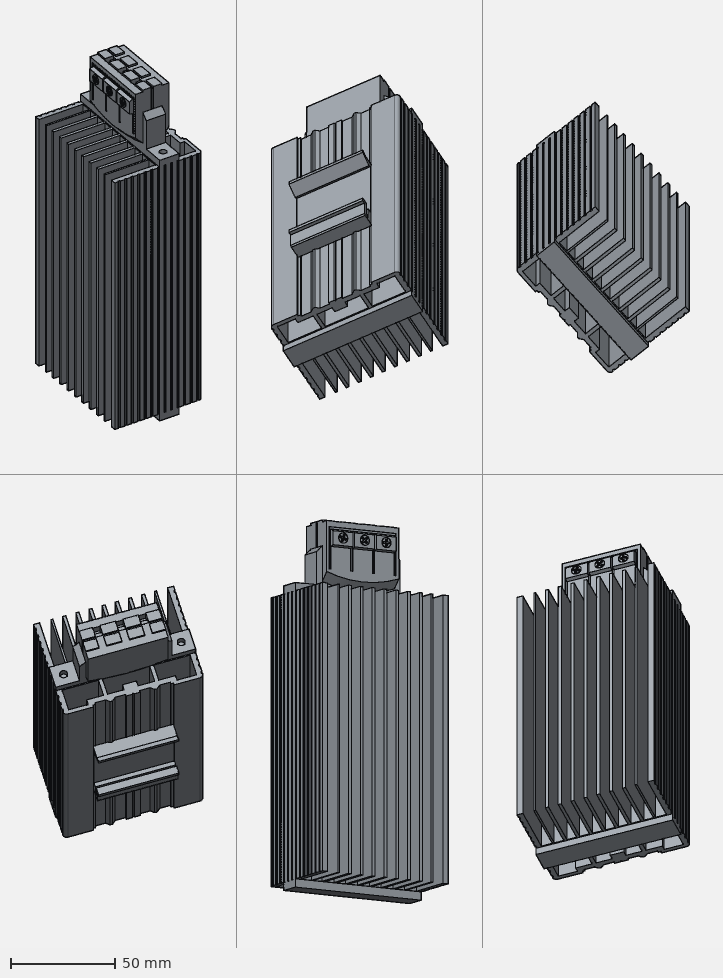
import cadquery as cq

WIDTH = 70.0
PROFILE_DEPTH = 50.0
CLIP_TIP_Y = 58.3
TOTAL_HEIGHT = 180.0

CAP_THICKNESS = 4.0
BODY_HEIGHT = 140.2
BODY_TOP = CAP_THICKNESS + BODY_HEIGHT
CAP_TOP = BODY_TOP + CAP_THICKNESS
CAP_DEPTH = 11.0
CAP_Y = 31.1
CAP_FRONT = CAP_Y - CAP_DEPTH / 2
CAP_BACK = CAP_Y + CAP_DEPTH / 2
CAP_HOLE_DIAMETER = 3.8
CAP_HOLE_X = 29.4

WALL = 3.0
INNER_HALF_WIDTH = WIDTH / 2 - WALL
CORNER_RADIUS = 2.0
CORE_DEPTH = 12.2
BACK_PLATE_FRONT = 48.0
PAD_WIDTH = 44.4
PAD_FRONT = 45.5
BOSS_WIDTH = 7.0
BOSS_FRONT = 42.8
LEG_WIDTH = 2.0
LEG_X = 12.8
FIN_PITCH = 6.57
FIN_THICKNESS = 1.6
INNER_FIN_COUNT = 7
OUTER_FIN_X = 25.9
OUTER_FIN_THICKNESS = 1.0
WALL_GROOVE_COUNT = 13
WALL_GROOVE_PITCH = 3.72
WALL_GROOVE_FIRST_Y = 2.7
WALL_GROOVE_WIDTH = 1.0
WALL_GROOVE_DEPTH = 0.5

CLIP_WIDTH = 40.2
CLIP_BASE_Y = 49.0
CHANNEL_INNER_X = 3.5
CHANNEL_OUTER_X = 18.8
CHANNEL_FLOOR_Y = 48.1
CHANNEL_RIB_BASE = 4.8
CHANNEL_RIB_TIP = 1.2
CHANNEL_RIB_TIP_Y = 49.6
POST_NOTCH_WIDTH = 1.0
POST_NOTCH_DEPTH = 0.6

CLIP_PLATE_Y = 50.6
LIP_TOP = 97.5
LIP_TIP_TOP = 99.3
LIP_TIP_THICKNESS = 1.9
LIP_BEND_Y = 55.4
LIP_ROOT = 94.2
LIP_ROOT_Y = 52.0
LIP_ROOT_RELIEF = 0.8
HOOK_BOTTOM = 50.3
HOOK_FLOOR = 52.5
HOOK_ROOT_TOP = 59.1
HOOK_TIP_TOP = 61.2
HOOK_TIP_THICKNESS = 2.0
HOOK_SLOT_FRONT_Y = 52.8
HOOK_SLOT_BACK_Y = 54.5
HOOK_BACK_Y = 56.6
HOOK_CORNER = 0.7

BLOCK_WIDTH = 40.0
BLOCK_FRONT = 21.4
BLOCK_BACK = 40.6
BLOCK_MIDDLE_Y = (BLOCK_FRONT + BLOCK_BACK) / 2
BLOCK_PAD_HEIGHT = 1.0
BLOCK_TOP = TOTAL_HEIGHT - BLOCK_PAD_HEIGHT
BELLY_LOW_Z = 150.9
BELLY_RISE = 3.3
BELLY_SLOPE = CAP_FRONT - BLOCK_FRONT
EAR_WIDTH = 46.3
EAR_TOP = 167.4
EAR_CHAMFER = (EAR_WIDTH - BLOCK_WIDTH) / 2

PAD_PITCH = 11.45
POCKET_WIDTH = 3.7
POCKET_DEPTH = 5.0
POCKET_STEP_Y = 28.4
LEDGE_DEPTH = 1.0
ROW_GAP = 1.1
SIDE_SLIT_DEPTH = 0.2

SCREW_ANGLES = (70, 45, 0)
SCREW_COUNT = len(SCREW_ANGLES)
SCREW_PITCH = 12.0
STRIP_WIDTH = SCREW_COUNT * SCREW_PITCH
STRIP_TOP = 174.0
STRIP_BOTTOM = 167.2
STRIP_DEPTH = 1.8
STRIP_TOP_CHAMFER = 1.1
STRIP_BOTTOM_CHAMFER = 0.6
LINE_GROOVE_WIDTH = 0.9
LINE_GROOVE_DEPTH = 0.5
LINE_GROOVE_BOTTOM = 155.7
LINE_GROOVE_TOP = 176.2
SCREW_Z = 170.9
SCREW_DIAMETER = 4.9
SCREW_PROUD = 0.3
SCREW_CROSS_LENGTH = 3.4
SCREW_CROSS_WIDTH = 0.8
SCREW_CROSS_DEPTH = 0.6


def box(x0, x1, y0, y1, z0, z1):
    """Box between two opposite corners."""
    return cq.Workplane("XY").box(x1 - x0, y1 - y0, z1 - z0, centered=False).translate((x0, y0, z0))


def centred_box(x, width, y0, y1, z0, z1):
    """Box centred at x along X."""
    return box(x - width / 2, x + width / 2, y0, y1, z0, z1)


def bar(x, width, y0, y1):
    """Lengthwise bar running the full height of the heat sink."""
    return centred_box(x, width, y0, y1, CAP_THICKNESS, BODY_TOP)


def extrude_plan(points):
    """Plan outline (X, Y) run along the full height of the heat sink."""
    return cq.Workplane("XY", origin=(0, 0, CAP_THICKNESS)).polyline(points).close().extrude(BODY_HEIGHT)


def extrude_side(points, width):
    """Side outline (Y, Z) run along X, centred on X = 0."""
    return cq.Workplane("YZ").polyline(points).close().extrude(width / 2, both=True)


def make_shell():
    """Side walls, back plate and the core plate that joins them."""
    shell = bar(0, WIDTH, 0, PROFILE_DEPTH).edges("|Z and >Y").fillet(CORNER_RADIUS)
    core_front = CAP_Y - CORE_DEPTH / 2
    core_back = CAP_Y + CORE_DEPTH / 2
    shell = shell.cut(bar(0, 2 * INNER_HALF_WIDTH, 0, core_front))
    return shell.cut(bar(0, 2 * INNER_HALF_WIDTH, core_back, BACK_PLATE_FRONT))


def add_fins(body):
    for i in range(INNER_FIN_COUNT):
        x = (i - (INNER_FIN_COUNT - 1) / 2) * FIN_PITCH
        body = body.union(bar(x, FIN_THICKNESS, 0, CAP_Y))
    for x in (-OUTER_FIN_X, OUTER_FIN_X):
        body = body.union(bar(x, OUTER_FIN_THICKNESS, 0, CAP_Y))
    return body


def add_back_supports(body):
    """Thickened middle of the back plate, its boss and the two legs to the core."""
    body = body.union(bar(0, PAD_WIDTH, PAD_FRONT, BACK_PLATE_FRONT))
    body = body.union(bar(0, BOSS_WIDTH, BOSS_FRONT, BACK_PLATE_FRONT))
    for x in (-LEG_X, LEG_X):
        body = body.union(bar(x, LEG_WIDTH, CAP_Y, BACK_PLATE_FRONT))
    return body


def cut_wall_grooves(body):
    for i in range(WALL_GROOVE_COUNT):
        y = WALL_GROOVE_FIRST_Y + i * WALL_GROOVE_PITCH
        for x in (-WIDTH / 2, WIDTH / 2):
            groove = bar(x, 2 * WALL_GROOVE_DEPTH, y - WALL_GROOVE_WIDTH / 2, y + WALL_GROOVE_WIDTH / 2)
            body = body.cut(groove)
    return body


def cut_clip_seat(body):
    """Seat for the clip, two deeper ribbed channels, and a V notch in the post between them."""
    body = body.cut(bar(0, CLIP_WIDTH, CLIP_BASE_Y, PROFILE_DEPTH))
    channel_width = CHANNEL_OUTER_X - CHANNEL_INNER_X
    channel_x = (CHANNEL_OUTER_X + CHANNEL_INNER_X) / 2
    for x in (-channel_x, channel_x):
        body = body.cut(bar(x, channel_width, CHANNEL_FLOOR_Y, CLIP_BASE_Y))
        rib = extrude_plan([
            (x - CHANNEL_RIB_BASE / 2, CHANNEL_FLOOR_Y),
            (x + CHANNEL_RIB_BASE / 2, CHANNEL_FLOOR_Y),
            (x + CHANNEL_RIB_TIP / 2, CHANNEL_RIB_TIP_Y),
            (x - CHANNEL_RIB_TIP / 2, CHANNEL_RIB_TIP_Y),
        ])
        body = body.union(rib)
    notch = extrude_plan([
        (-POST_NOTCH_WIDTH / 2, CLIP_BASE_Y),
        (POST_NOTCH_WIDTH / 2, CLIP_BASE_Y),
        (0, CLIP_BASE_Y - POST_NOTCH_DEPTH),
    ])
    return body.cut(notch)


def make_caps():
    """Bottom cap, and top cap with a mounting hole at each end."""
    bottom = centred_box(0, WIDTH, CAP_FRONT, CAP_BACK, 0, CAP_THICKNESS)
    top = centred_box(0, WIDTH, CAP_FRONT, CAP_BACK, BODY_TOP, CAP_TOP)
    holes = (
        cq.Workplane("XY", origin=(0, CAP_Y, BODY_TOP))
        .pushPoints([(-CAP_HOLE_X, 0), (CAP_HOLE_X, 0)])
        .circle(CAP_HOLE_DIAMETER / 2)
        .extrude(CAP_THICKNESS)
    )
    return bottom.union(top.cut(holes))


def make_clip():
    """Rail clip: upper lip, backing plate and lower hook, as one side outline."""
    lip = [
        (CLIP_BASE_Y, LIP_TOP),
        (LIP_BEND_Y, LIP_TOP),
        (CLIP_TIP_Y, LIP_TIP_TOP),
        (CLIP_TIP_Y, LIP_TIP_TOP - LIP_TIP_THICKNESS),
        (LIP_ROOT_Y, LIP_ROOT),
        (CLIP_PLATE_Y, LIP_ROOT + LIP_ROOT_RELIEF),
    ]
    hook = [
        (CLIP_PLATE_Y, HOOK_ROOT_TOP),
        (HOOK_SLOT_FRONT_Y, HOOK_ROOT_TOP),
        (HOOK_SLOT_FRONT_Y, HOOK_FLOOR),
        (HOOK_SLOT_BACK_Y - HOOK_CORNER, HOOK_FLOOR),
        (HOOK_SLOT_BACK_Y, HOOK_FLOOR + HOOK_CORNER),
        (HOOK_SLOT_BACK_Y, HOOK_TIP_TOP),
        (CLIP_TIP_Y, HOOK_TIP_TOP),
        (CLIP_TIP_Y, HOOK_TIP_TOP - HOOK_TIP_THICKNESS),
        (HOOK_BACK_Y, HOOK_TIP_TOP - HOOK_TIP_THICKNESS),
        (HOOK_BACK_Y, HOOK_BOTTOM + HOOK_CORNER),
        (HOOK_BACK_Y - HOOK_CORNER, HOOK_BOTTOM),
        (CLIP_BASE_Y, HOOK_BOTTOM),
    ]
    return extrude_side(lip + hook, CLIP_WIDTH)


def belly_cutter():
    """Oblique prism that leaves a bowed, sloping lower edge on the front of the block."""
    half = BLOCK_WIDTH / 2
    corner_z = BELLY_LOW_Z + BELLY_RISE
    face = (
        cq.Workplane("XZ", origin=(0, BLOCK_FRONT, 0))
        .moveTo(-half, corner_z)
        .threePointArc((0, BELLY_LOW_Z), (half, corner_z))
        .lineTo(half, BODY_TOP)
        .lineTo(-half, BODY_TOP)
        .close()
    )
    wire = face.wires().val()
    return cq.Workplane(cq.Solid.extrudeLinear(wire, [], cq.Vector(0, BELLY_SLOPE, -BELLY_SLOPE)))


def make_block():
    """Terminal block body with both lower edges bowed, and an ear at each end."""
    block = centred_box(0, BLOCK_WIDTH, BLOCK_FRONT, BLOCK_BACK, BODY_TOP, BLOCK_TOP)
    cutter = belly_cutter()
    block = block.cut(cutter)
    block = block.cut(cutter.mirror("XZ", (0, BLOCK_MIDDLE_Y, 0)))
    ears = centred_box(0, EAR_WIDTH, CAP_FRONT, CAP_BACK, BODY_TOP, EAR_TOP)
    ears = ears.edges("|Y and >Z").chamfer(EAR_CHAMFER)
    return block.union(ears)


def add_block_top(block):
    """Raised pads in two rows, stepped pockets between the front pads, and a slit in each end."""
    gap_front = CAP_Y - ROW_GAP / 2
    gap_back = CAP_Y + ROW_GAP / 2
    pads = centred_box(0, BLOCK_WIDTH, CAP_FRONT, CAP_BACK, BLOCK_TOP, TOTAL_HEIGHT)
    pads = pads.cut(centred_box(0, BLOCK_WIDTH, gap_front, gap_back, BLOCK_TOP, TOTAL_HEIGHT))
    for x in (-PAD_PITCH, 0, PAD_PITCH):
        pads = pads.cut(centred_box(x, POCKET_WIDTH, CAP_FRONT, CAP_BACK, BLOCK_TOP, TOTAL_HEIGHT))
        pocket = centred_box(x, POCKET_WIDTH, CAP_FRONT, POCKET_STEP_Y, BLOCK_TOP - POCKET_DEPTH, BLOCK_TOP)
        ledge = centred_box(x, POCKET_WIDTH, POCKET_STEP_Y, gap_front, BLOCK_TOP - LEDGE_DEPTH, BLOCK_TOP)
        block = block.cut(pocket).cut(ledge)
    for x in (-BLOCK_WIDTH / 2, BLOCK_WIDTH / 2):
        block = block.cut(centred_box(x, 2 * SIDE_SLIT_DEPTH, gap_front, gap_back, EAR_TOP, BLOCK_TOP))
    return block.union(pads)


def add_screw_strip(block):
    """Chamfered strip on the block front, framed and divided by line grooves."""
    strip_face = BLOCK_FRONT - STRIP_DEPTH
    strip = extrude_side([
        (BLOCK_FRONT, STRIP_BOTTOM - STRIP_BOTTOM_CHAMFER),
        (strip_face, STRIP_BOTTOM),
        (strip_face, STRIP_TOP),
        (BLOCK_FRONT, STRIP_TOP + STRIP_TOP_CHAMFER),
    ], STRIP_WIDTH)
    block = block.union(strip)
    groove_floor = BLOCK_FRONT + LINE_GROOVE_DEPTH
    for i in range(SCREW_COUNT + 1):
        x = (i - SCREW_COUNT / 2) * SCREW_PITCH
        block = block.cut(
            centred_box(x, LINE_GROOVE_WIDTH, strip_face, groove_floor, LINE_GROOVE_BOTTOM, LINE_GROOVE_TOP)
        )
    frame_bottom = STRIP_TOP + STRIP_TOP_CHAMFER
    frame = centred_box(0, STRIP_WIDTH, BLOCK_FRONT, groove_floor, frame_bottom, LINE_GROOVE_TOP)
    return block.cut(frame)


def add_screws(block):
    """Cross-recessed screw heads standing slightly proud of the strip."""
    head_y = BLOCK_FRONT - STRIP_DEPTH - SCREW_PROUD
    for i, angle in enumerate(SCREW_ANGLES):
        centre = ((i - (SCREW_COUNT - 1) / 2) * SCREW_PITCH, head_y, SCREW_Z)
        plane = cq.Workplane("XZ", origin=centre)
        block = block.union(plane.circle(SCREW_DIAMETER / 2).extrude(-SCREW_PROUD))
        for turn in (angle, angle + 90):
            slot = plane.transformed(rotate=(0, 0, turn)).rect(SCREW_CROSS_LENGTH, SCREW_CROSS_WIDTH)
            block = block.cut(slot.extrude(-SCREW_CROSS_DEPTH))
    return block


heat_sink = make_shell()
heat_sink = add_fins(heat_sink)
heat_sink = add_back_supports(heat_sink)
heat_sink = cut_wall_grooves(heat_sink)
heat_sink = cut_clip_seat(heat_sink)

terminal_block = make_block()
terminal_block = add_block_top(terminal_block)
terminal_block = add_screw_strip(terminal_block)
terminal_block = add_screws(terminal_block)

result = heat_sink.union(make_caps()).union(make_clip()).union(terminal_block)